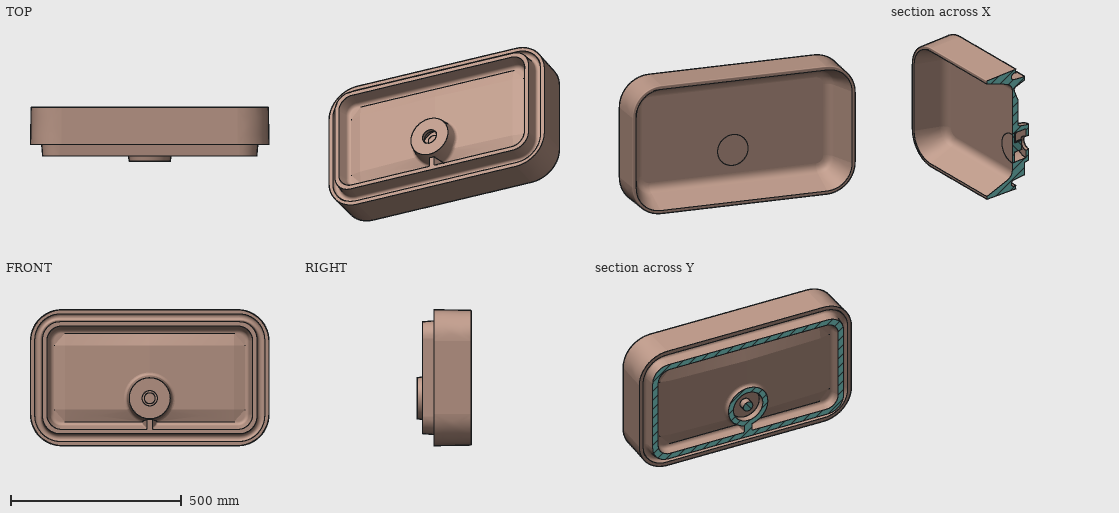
import cadquery as cq
import math

LENGTH = 700.0
HEIGHT = 400.0
DEPTH = 159.0

SKIRT_Y = 49.0
SKIRT_CORNER = 92.5
SKIRT_DRAFT = 1.0
RIM_ROUND = 3.0
WALL = 12.5

FOOT_Y = 15.5
FOOT_INSET = 36.0
FOOT_CORNER = 50.5
FOOT_DRAFT = 5.0

GROOVE_CORNER = 76.0
GROOVE_DEPTH = 15.5
GROOVE_ROUND = 9.0

RECESS_INSET = FOOT_INSET + WALL
RECESS_CORNER = 43.5
RECESS_DEPTH = 39.0
RECESS_DRAFT = 19.0
RECESS_ROUND = 12.5
RECESS_FLOOR_Y = FOOT_Y + RECESS_DEPTH

BULGE_INSET = 70.0
PANEL_END_INSET = 102.0
PANEL_SIDE_INSET = 106.0
PANEL_END_Y = 47.5
PANEL_RIDGE_Y = 40.0
SPINE_Y = 112.0

DRAIN_Z = -60.0
BOSS_RADIUS = 60.0
BOSS_DRAFT = 10.0
BOSS_REACH = 77.0
BOSS_FILLET = 9.0
DRAIN_HOLE_RADIUS = 22.5
RIB_WIDTH = 15.0
RIB_ROUND = 4.0

BOWL_FLOOR_Y = 63.0
BOWL_DRAFT = 20.0
BOWL_CORNER = 42.0
BOWL_ROUND = 28.0
WELL_FLOOR_Y = 12.0
WELL_RADIUS = BOSS_RADIUS - WALL

PLUG_THICKNESS = 10.5
STEM_RADIUS = 16.0
STEM_END_Y = 26.0


def plane_at(y, z=0.0):
    """Plane across the Y axis whose normal points towards the rim."""
    return cq.Workplane(cq.Plane(origin=(0, y, z), xDir=(1, 0, 0), normal=(0, 1, 0)))


def rounded_block(inset, corner, y, depth, draft):
    """Rounded rectangle set in from the skirt outline; a positive draft narrows it towards the rim."""
    outline = cq.Sketch().rect(LENGTH - 2 * inset, HEIGHT - 2 * inset).vertices().fillet(corner)
    return plane_at(y).placeSketch(outline).extrude(depth, taper=draft)


def make_skirt():
    skirt = rounded_block(0, SKIRT_CORNER, SKIRT_Y, DEPTH - SKIRT_Y, SKIRT_DRAFT)
    return skirt.faces(">Y").edges().fillet(RIM_ROUND)


def make_foot():
    return rounded_block(FOOT_INSET, FOOT_CORNER, FOOT_Y, SKIRT_Y - FOOT_Y + GROOVE_DEPTH, -FOOT_DRAFT)


def make_groove():
    groove = rounded_block(WALL, GROOVE_CORNER, SKIRT_Y, GROOVE_DEPTH, 0).cut(make_foot())
    return groove.faces(">Y").edges().fillet(GROOVE_ROUND)


def make_bulge():
    """Ruled body through cross-sections along X; its bands run on past the recess floor into the wall."""
    half_floor = HEIGHT / 2 - BULGE_INSET
    half_panel = HEIGHT / 2 - PANEL_SIDE_INSET
    skirt_z = HEIGHT / 2
    skirt_x = LENGTH / 2
    panel_x = skirt_x - PANEL_END_INSET
    end_slope = (RECESS_FLOOR_Y - PANEL_END_Y) / (PANEL_END_INSET - BULGE_INSET)
    end_drop = end_slope * PANEL_END_INSET

    def section(x, panel_y, edge_y):
        points = [
            (SPINE_Y, -skirt_z),
            (edge_y, -skirt_z),
            (panel_y, -half_panel),
            (panel_y, half_panel),
            (edge_y, skirt_z),
            (SPINE_Y, skirt_z),
        ]
        return cq.Wire.makePolygon([cq.Vector(x, y, z) for y, z in points], close=True)

    def side_edge(panel_y):
        slope = (RECESS_FLOOR_Y - panel_y) / (half_floor - half_panel)
        return panel_y + slope * (skirt_z - half_panel)

    panel_end_edge = side_edge(PANEL_END_Y)
    sections = [
        section(-skirt_x, PANEL_END_Y + end_drop, panel_end_edge + end_drop),
        section(-panel_x, PANEL_END_Y, panel_end_edge),
        section(0, PANEL_RIDGE_Y, side_edge(PANEL_RIDGE_Y)),
        section(panel_x, PANEL_END_Y, panel_end_edge),
        section(skirt_x, PANEL_END_Y + end_drop, panel_end_edge + end_drop),
    ]
    return cq.Workplane(cq.Solid.makeLoft(sections, True))


def make_boss():
    return plane_at(0, DRAIN_Z).circle(BOSS_RADIUS).extrude(SPINE_Y, taper=-BOSS_DRAFT)


def make_bossed_bulge():
    """Bulge with the boss standing on it, blended by a fillet all round the foot of the boss."""
    bossed = make_bulge().union(make_boss())
    boss_foot = cq.selectors.BoxSelector(
        (-BOSS_REACH, PANEL_RIDGE_Y - BOSS_FILLET, DRAIN_Z - BOSS_REACH),
        (BOSS_REACH, SPINE_Y - BOSS_FILLET, DRAIN_Z + BOSS_REACH),
        boundingbox=True,
    )
    return bossed.edges(boss_foot).fillet(BOSS_FILLET)


def make_rib():
    """Drafted rib, level with the foot ring, from the boss down to the ring."""
    foot_z = -HEIGHT / 2 + FOOT_INSET
    length = DRAIN_Z - foot_z
    rib = plane_at(FOOT_Y, foot_z + length / 2).rect(RIB_WIDTH, length)
    return rib.extrude(BOWL_FLOOR_Y - FOOT_Y, taper=-RECESS_DRAFT)


def make_recess():
    """Hollow inside the foot ring that leaves the bulge, boss and rib standing."""
    recess = rounded_block(RECESS_INSET, RECESS_CORNER, FOOT_Y, RECESS_DEPTH, RECESS_DRAFT)
    recess = recess.faces(">Y").edges().fillet(RECESS_ROUND)
    recess = recess.cut(make_bossed_bulge()).cut(make_rib())
    foot_wall_z = -HEIGHT / 2 + RECESS_INSET
    rib_corners = cq.selectors.BoxSelector(
        (-2 * RIB_WIDTH, 0, foot_wall_z - RIB_ROUND),
        (2 * RIB_WIDTH, RECESS_FLOOR_Y, foot_wall_z + WALL),
        boundingbox=True,
    )
    return recess.edges(rib_corners).fillet(RIB_ROUND)


def make_bowl():
    """Hollow of the bowl, widening towards the rim."""
    bowl_depth = DEPTH - BOWL_FLOOR_Y
    floor_inset = WALL + bowl_depth * math.tan(math.radians(BOWL_DRAFT))
    bowl = rounded_block(floor_inset, BOWL_CORNER, BOWL_FLOOR_Y, bowl_depth, -BOWL_DRAFT)
    return bowl.faces("<Y").edges().fillet(BOWL_ROUND)


def make_basin():
    basin = make_skirt().cut(make_groove()).union(make_foot()).cut(make_recess()).union(make_boss())
    basin = basin.cut(make_bowl())
    well = plane_at(WELL_FLOOR_Y, DRAIN_Z).circle(WELL_RADIUS).extrude(BOWL_FLOOR_Y - WELL_FLOOR_Y)
    drain_hole = plane_at(0, DRAIN_Z).circle(DRAIN_HOLE_RADIUS).extrude(WELL_FLOOR_Y)
    return basin.cut(well).cut(drain_hole)


def make_plug():
    """Cap that closes the well flush with the bowl floor, with a stem reaching down towards the hole."""
    cap_y = BOWL_FLOOR_Y - PLUG_THICKNESS
    cap = plane_at(cap_y, DRAIN_Z).circle(WELL_RADIUS).extrude(PLUG_THICKNESS)
    stem = plane_at(STEM_END_Y, DRAIN_Z).circle(STEM_RADIUS).extrude(cap_y - STEM_END_Y)
    return cap.union(stem)


basin = make_basin()
plug = make_plug()
result = cq.Compound.makeCompound([basin.val(), plug.val()])